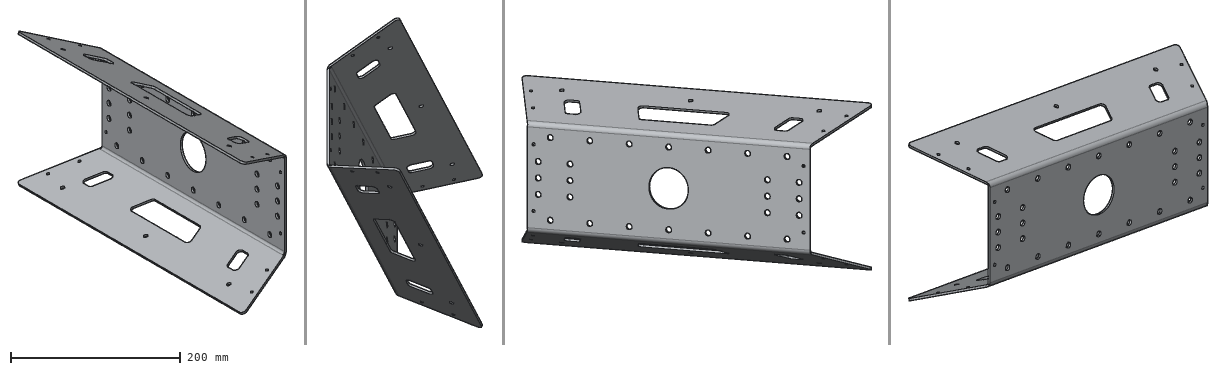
import cadquery as cq
import math

length = 441.5
depth = 97.5
height = 202.0
wall_length = 357.5

thickness = 3.0
inner_radius = 4.0
flange_tilt = 20.0
tip_radius = 5.0

row_span = 300.0
row_count = 7
row_height = 50.0
side_hole_places = (125.0, 165.0)
side_hole_pitch = 20.0
mount_hole_diameter = 7.0
pin_place = (171.0, 40.0)
pin_hole_diameter = 3.5
center_hole_diameter = 50.0

edge_hole_place = (163.0, 77.0)
edge_hole_diameter = 5.5
end_hole_places = ((183.5, 33.5), (199.5, 70.0))
end_hole_diameter = 3.5
window_start = 27.0
window_width = 30.0
window_radius = 5.0
center_window_length = 107.0
side_window_length = 20.0
side_window_place = 137.0

tilt = math.radians(flange_tilt)
outer_radius = inner_radius + thickness
flange_width = (depth - thickness * math.sin(tilt)) / math.cos(tilt)
corner_height = height / 2 - flange_width * math.sin(tilt)

round_center_x = length / 2 - tip_radius - wall_length / 2
round_center_u = flange_width - tip_radius
end_slant = math.atan2(round_center_x, round_center_u) + math.asin(
    tip_radius / math.hypot(round_center_x, round_center_u)
)
slant_rate = math.tan(end_slant)

flange_plane = cq.Plane(
    origin=(0, 0, corner_height),
    xDir=(1, 0, 0),
    normal=(0, -math.sin(tilt), -math.cos(tilt)),
)


def mirrored_pair(upper):
    """A shape on the upper flange together with its mirror image on the lower flange."""
    return upper.union(upper.mirror("XY"))


def bent_sheet():
    """Open channel of constant thickness along X, left longer than the finished bracket."""
    tip_y = -flange_width * math.cos(tilt)
    tip_z = height / 2
    inner_tip_y = tip_y - thickness * math.sin(tilt)
    inner_tip_z = tip_z - thickness * math.cos(tilt)
    inner_corner_height = corner_height - thickness * math.tan(math.pi / 4 - tilt / 2)
    profile = [
        (tip_y, tip_z),
        (0, corner_height),
        (0, -corner_height),
        (tip_y, -tip_z),
        (inner_tip_y, -inner_tip_z),
        (-thickness, -inner_corner_height),
        (-thickness, inner_corner_height),
        (inner_tip_y, inner_tip_z),
    ]
    sheet = cq.Workplane("YZ").polyline(profile).close().extrude(length, both=True)
    sheet = sheet.faces(">Y").edges("|X").fillet(outer_radius)
    return sheet.faces("|Y").faces("<Y").edges("|X").fillet(inner_radius)


def outline_envelope():
    """Space that trims the channel: a straight wall and flanges widening to rounded corners."""
    wall_end = wall_length / 2
    sharp_end = wall_end + slant_rate * flange_width
    trapezoid = [
        (-wall_end, 0),
        (wall_end, 0),
        (sharp_end, flange_width),
        (-sharp_end, flange_width),
    ]
    flange = cq.Workplane(flange_plane).polyline(trapezoid).close().extrude(thickness, both=True)
    flange = flange.faces("<Y").edges("not |X").fillet(tip_radius)
    wall = cq.Workplane("XY").box(wall_length, 2 * depth, height)
    return mirrored_pair(flange).union(wall)


def wall_hole_cutters(places, diameter):
    """Cylinders along Y through the wall at (x, z) places."""
    return cq.Workplane("XZ").pushPoints(places).circle(diameter / 2).extrude(thickness)


def flange_hole_cutters(places, diameter):
    """Cylinders square to the upper flange at (x, distance from the bend corner) places."""
    return cq.Workplane(flange_plane).pushPoints(places).circle(diameter / 2).extrude(thickness)


def window_cutter(center_x, mid_length, left_lean, right_lean):
    """Round-cornered window; each lean is -1 or +1 for the side's X direction towards the free edge."""
    shift = slant_rate * window_width / 2
    left = center_x - mid_length / 2
    right = center_x + mid_length / 2
    window_end = window_start + window_width
    corners = [
        (left - left_lean * shift, window_start),
        (right - right_lean * shift, window_start),
        (right + right_lean * shift, window_end),
        (left + left_lean * shift, window_end),
    ]
    window = cq.Workplane(flange_plane).polyline(corners).close().extrude(thickness)
    upright_edges = cq.selectors.ParallelDirSelector(flange_plane.zDir)
    return window.edges(upright_edges).fillet(window_radius)


def both_ends(places):
    """Places at the +X end repeated at the -X end."""
    return [(side * x, y) for side in (-1, 1) for x, y in places]


bracket = bent_sheet().intersect(outline_envelope())

row_pitch = row_span / (row_count - 1)
row_places = [
    (i * row_pitch - row_span / 2, z) for i in range(row_count) for z in (-row_height, row_height)
]
side_places = both_ends([(x, i * side_hole_pitch) for x in side_hole_places for i in (-1, 0, 1)])
pin_x, pin_z = pin_place
pin_places = both_ends([(pin_x, -pin_z), (pin_x, pin_z)])
bracket = bracket.cut(wall_hole_cutters(row_places + side_places, mount_hole_diameter))
bracket = bracket.cut(wall_hole_cutters(pin_places, pin_hole_diameter))
bracket = bracket.cut(wall_hole_cutters([(0, 0)], center_hole_diameter))

edge_x, edge_u = edge_hole_place
edge_places = [(-edge_x, edge_u), (0, edge_u), (edge_x, edge_u)]
flange_cutters = [
    flange_hole_cutters(edge_places, edge_hole_diameter),
    flange_hole_cutters(both_ends(end_hole_places), end_hole_diameter),
    window_cutter(0, center_window_length, -1, 1),
    window_cutter(-side_window_place, side_window_length, -1, -1),
    window_cutter(side_window_place, side_window_length, 1, 1),
]
for cutter in flange_cutters:
    bracket = bracket.cut(mirrored_pair(cutter))

result = bracket